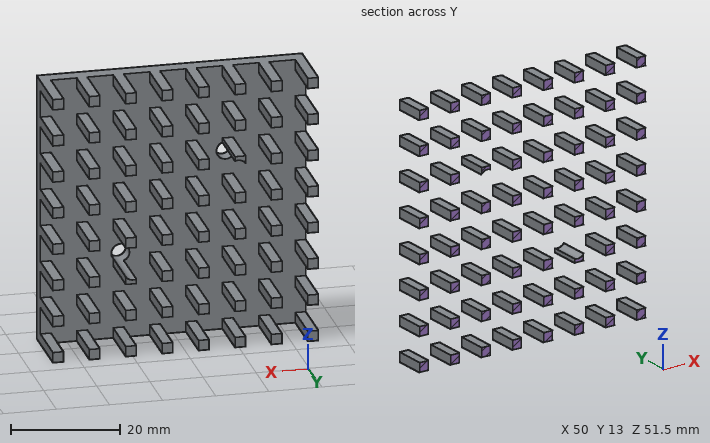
import cadquery as cq

width = 50.0
height = 51.5
depth = 13.0

base_thickness = 3.0
pin_size = 2.0
pins_per_side = 8
pin_length = depth - base_thickness
pitch_x = (width - pin_size) / (pins_per_side - 1)
pitch_z = (height - pin_size) / (pins_per_side - 1)

hole_diameter = 3.4
hole_offset_x = 9.9
hole_offset_z = 9.15
hole_centres = [(-hole_offset_x, hole_offset_z), (hole_offset_x, -hole_offset_z)]


def make_base():
    """Plate with its flat mounting face at Y = 0."""
    return cq.Workplane("XY").box(width, base_thickness, height, centered=(True, False, True))


def make_pins():
    """Square grid of pins, flush with the plate edges and pointing toward +Y."""
    return (
        cq.Workplane("XZ", origin=(0, base_thickness, 0))
        .rarray(pitch_x, pitch_z, pins_per_side, pins_per_side)
        .rect(pin_size, pin_size)
        .extrude(-pin_length)
    )


def make_holes():
    """Mounting holes running along Y through the full depth, notching nearby pins."""
    return (
        cq.Workplane("XZ")
        .pushPoints(hole_centres)
        .circle(hole_diameter / 2)
        .extrude(-depth)
    )


result = make_base().union(make_pins()).cut(make_holes())